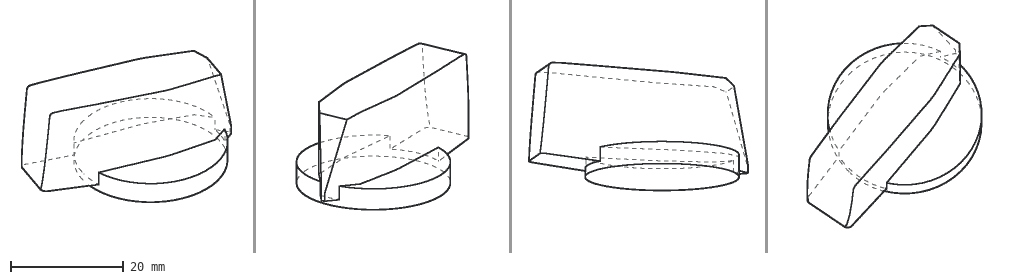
import cadquery as cq

disc_diameter = 27.5
disc_height = 4.0

total_length = 39.22
total_height = 19.0
tip_y = 15.73
back_y = tip_y - total_length

tip_half_width = 0.35
shoulder_y = 10.6
shoulder_half_width = 4.5
swell_front_y = 2.75
swell_front_half_width = 5.45
swell_peak_y = 0.4
swell_half_width = 5.65
swell_back_y = -1.37
swell_back_half_width = 5.6
grip_y = -12.63
grip_half_width = 5.3
back_half_width = 4.8
back_corner_radius = 1.02
shoulder_corner_radius = 0.25

underside_z = 1.4
tip_top_z = 2.9
nose_top_y = 12.5
nose_top_z = 16.5
shoulder_z = 17.65
level_top_y = -19.73
back_top_y = -22.05
back_bottom_z = 2.55
back_top_radius = 0.8
shoulder_top_radius = 0.4


def make_disc():
    return cq.Workplane("XY").circle(disc_diameter / 2).extrude(disc_height)


def make_plan_prism():
    """Handle outline extruded upright, with its back and shoulder corners rounded."""
    return (
        cq.Workplane("XY")
        .moveTo(-tip_half_width, tip_y)
        .lineTo(tip_half_width, tip_y)
        .lineTo(shoulder_half_width, shoulder_y)
        .lineTo(swell_front_half_width, swell_front_y)
        .threePointArc((swell_half_width, swell_peak_y), (swell_back_half_width, swell_back_y))
        .lineTo(grip_half_width, grip_y)
        .lineTo(back_half_width, back_y)
        .lineTo(-back_half_width, back_y)
        .lineTo(-grip_half_width, grip_y)
        .lineTo(-swell_back_half_width, swell_back_y)
        .threePointArc((-swell_half_width, swell_peak_y), (-swell_front_half_width, swell_front_y))
        .lineTo(-shoulder_half_width, shoulder_y)
        .close()
        .extrude(total_height)
        .edges("|Z and <Y")
        .fillet(back_corner_radius)
        .edges(cq.selectors.NearestToPointSelector((shoulder_half_width, shoulder_y, total_height / 2)))
        .fillet(shoulder_corner_radius)
        .edges(cq.selectors.NearestToPointSelector((-shoulder_half_width, shoulder_y, total_height / 2)))
        .fillet(shoulder_corner_radius)
    )


def make_profile_prism():
    """Handle side profile extruded across X, with its back and shoulder top edges rounded."""
    profile = [
        (tip_y, underside_z),
        (tip_y, tip_top_z),
        (nose_top_y, nose_top_z),
        (shoulder_y, shoulder_z),
        (level_top_y, total_height),
        (back_top_y, total_height),
        (back_y, back_bottom_z),
        (grip_y, underside_z),
    ]
    return (
        cq.Workplane("YZ")
        .polyline(profile)
        .close()
        .extrude(swell_half_width + 0.4, both=True)
        .edges(cq.selectors.NearestToPointSelector((0, back_top_y, total_height)))
        .fillet(back_top_radius)
        .edges(cq.selectors.NearestToPointSelector((0, shoulder_y, shoulder_z)))
        .fillet(shoulder_top_radius)
    )


handle = make_plan_prism().intersect(make_profile_prism())
result = make_disc().union(handle)